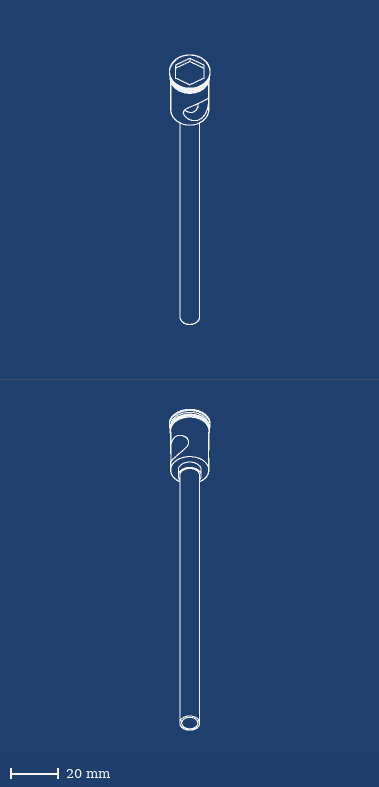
import cadquery as cq

total_length = 177.5
rim_diameter = 17.0

head_diameter = 16.0
head_length = 27.5
rim_height = 0.7
rim_taper_height = 0.5
lower_ring_depth = 3.4
lower_ring_height = 0.7
lower_ring_diameter = 16.5
groove_diameter = 15.6
groove_depth = 2.3

hex_across_flats = 11.7
hex_depth = 2.3

cross_hole_diameter = 12.0
cross_hole_depth = 19.0

collar_diameter = 9.5
collar_length = 3.2
tube_diameter = 8.3
bore_diameter = 6.7

head_bottom = total_length - head_length
collar_bottom = head_bottom - collar_length
cross_hole_height = total_length - cross_hole_depth


def cylinder(diameter, bottom, top):
    """Solid cylinder on the Z axis between two heights."""
    return cq.Workplane("XY").workplane(offset=bottom).circle(diameter / 2).extrude(top - bottom)


def ringed_head():
    """Cylindrical head with a rim, a lower ring and a shallow groove between them."""
    ring_top = total_length - lower_ring_depth
    groove_top = total_length - groove_depth
    head = cylinder(head_diameter, head_bottom, ring_top)
    head = head.union(cylinder(groove_diameter, ring_top, groove_top))
    head = head.union(cylinder(head_diameter, groove_top, total_length))
    rim_bottom = total_length - rim_height
    rim_taper = (
        cq.Workplane("XY")
        .workplane(offset=rim_bottom - rim_taper_height)
        .circle(head_diameter / 2)
        .workplane(offset=rim_taper_height)
        .circle(rim_diameter / 2)
        .loft()
    )
    head = head.union(rim_taper)
    head = head.union(cylinder(rim_diameter, rim_bottom, total_length))
    return head.union(cylinder(lower_ring_diameter, ring_top - lower_ring_height, ring_top))


def hex_socket():
    """Hexagonal pocket with two corners on the Y axis."""
    return (
        cq.Workplane("XY")
        .workplane(offset=total_length)
        .polygon(6, hex_across_flats, circumscribed=True)
        .extrude(-hex_depth)
    )


def cross_hole():
    """Round hole passing through the head along X."""
    return (
        cq.Workplane("YZ")
        .center(0, cross_hole_height)
        .circle(cross_hole_diameter / 2)
        .extrude(rim_diameter, both=True)
    )


result = (
    ringed_head()
    .union(cylinder(collar_diameter, collar_bottom, head_bottom))
    .union(cylinder(tube_diameter, 0, collar_bottom))
    .cut(hex_socket())
    .cut(cross_hole())
    .cut(cylinder(bore_diameter, 0, cross_hole_height))
)